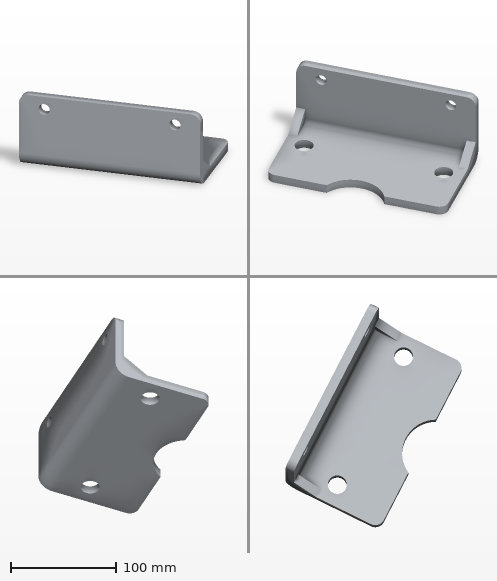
import cadquery as cq

width = 180.0
depth = 100.0
height = 75.0
thickness = 9.0
corner_radius = 9.0

inner_bend_radius = 4.5
outer_bend_radius = inner_bend_radius + thickness

gusset_width = 9.0
gusset_reach = 33.1
gusset_height = 24.7

upright_hole_diameter = 11.0
upright_hole_spacing = 130.0
upright_hole_height = 62.1
base_hole_diameter = 18.0
base_hole_spacing = 140.0
base_hole_y = 45.0

notch_radius = 32.5
notch_depth = 17.5


def make_bent_plate():
    profile = (
        cq.Workplane("YZ")
        .polyline([
            (0, 0),
            (depth, 0),
            (depth, thickness),
            (thickness, thickness),
            (thickness, height),
            (0, height),
        ])
        .close()
        .extrude(width / 2, both=True)
    )
    profile = profile.edges(cq.NearestToPointSelector((0, 0, 0))).fillet(outer_bend_radius)
    inner_corner = cq.NearestToPointSelector((0, thickness, thickness))
    profile = profile.edges(inner_corner).fillet(inner_bend_radius)
    profile = profile.faces(">Y").edges("|Z").fillet(corner_radius)
    return profile.faces(">Z").edges("|Y").fillet(corner_radius)


def make_gusset(start_x):
    overlap = thickness / 2
    return (
        cq.Workplane("YZ", origin=(start_x, 0, 0))
        .polyline([
            (overlap, outer_bend_radius),
            (outer_bend_radius, overlap),
            (gusset_reach, overlap),
            (gusset_reach, thickness),
            (thickness, gusset_height),
            (overlap, gusset_height),
        ])
        .close()
        .extrude(gusset_width)
    )


def make_upright_holes():
    return (
        cq.Workplane("XZ", origin=(0, thickness, 0))
        .pushPoints([(side * upright_hole_spacing / 2, upright_hole_height) for side in (-1, 1)])
        .circle(upright_hole_diameter / 2)
        .extrude(thickness)
    )


def make_base_holes():
    return (
        cq.Workplane("XY")
        .pushPoints([(side * base_hole_spacing / 2, base_hole_y) for side in (-1, 1)])
        .circle(base_hole_diameter / 2)
        .extrude(thickness)
    )


def make_notch():
    return (
        cq.Workplane("XY")
        .center(0, depth - notch_depth + notch_radius)
        .circle(notch_radius)
        .extrude(thickness)
    )


result = make_bent_plate()
for gusset_start in (-width / 2, width / 2 - gusset_width):
    result = result.union(make_gusset(gusset_start))
result = result.cut(make_upright_holes()).cut(make_base_holes()).cut(make_notch())